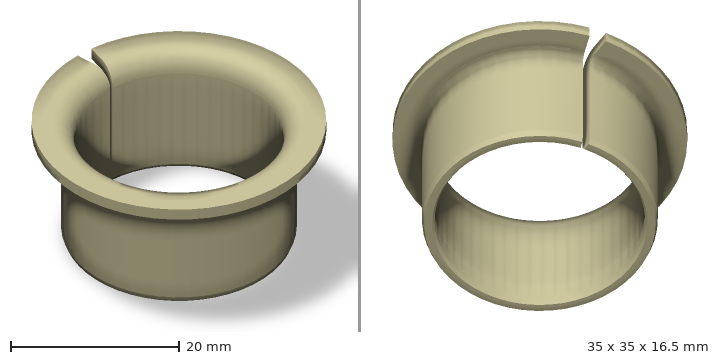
import cadquery as cq
import math

bore_radius = 12.5
wall = 1.5
flange_radius = 17.5
length = 16.5

bend_outer_radius = 1.0
bend_inner_radius = bend_outer_radius + wall

lead_in_height = 0.75
lead_in_angle = 20.0
bore_chamfer_height = 0.5
bore_chamfer_angle = 30.0

gap_at_bore = 0.35
gap_side_angle = 10.0

sleeve_radius = bore_radius + wall
bend_centre_radius = sleeve_radius + bend_outer_radius
bend_centre_height = length - bend_inner_radius
flange_underside = length - wall
lead_in_depth = lead_in_height * math.tan(math.radians(lead_in_angle))
bore_chamfer_depth = bore_chamfer_height * math.tan(math.radians(bore_chamfer_angle))


def bend_midpoint(radius):
    """Middle of a bend arc of the given radius, as (radial, height)."""
    offset = radius * math.sqrt(0.5)
    return (bend_centre_radius - offset, bend_centre_height + offset)


def make_bush():
    """Revolve the wall section about Z, with the seam on -X where the split removes it."""
    section = (
        cq.Workplane("XZ")
        .moveTo(bore_radius + bore_chamfer_depth, 0)
        .lineTo(sleeve_radius - lead_in_depth, 0)
        .lineTo(sleeve_radius, lead_in_height)
        .lineTo(sleeve_radius, bend_centre_height)
        .threePointArc(bend_midpoint(bend_outer_radius), (bend_centre_radius, flange_underside))
        .lineTo(flange_radius, flange_underside)
        .lineTo(flange_radius, length)
        .lineTo(bend_centre_radius, length)
        .threePointArc(bend_midpoint(bend_inner_radius), (bore_radius, bend_centre_height))
        .lineTo(bore_radius, bore_chamfer_height)
        .close()
    )
    bush = section.revolve(360, (0, 0), (0, 1))
    return bush.rotate((0, 0, 0), (0, 0, 1), 180)


def make_split():
    """Full-height wedge that opens the ring on the -X side."""
    slope = math.tan(math.radians(gap_side_angle))
    apex_radius = bore_radius - gap_at_bore / 2 / slope
    outer_reach = flange_radius + wall
    outer_half_width = (outer_reach - apex_radius) * slope
    return (
        cq.Workplane("XY")
        .moveTo(-apex_radius, 0)
        .lineTo(-outer_reach, outer_half_width)
        .lineTo(-outer_reach, -outer_half_width)
        .close()
        .extrude(length)
    )


result = make_bush().cut(make_split())